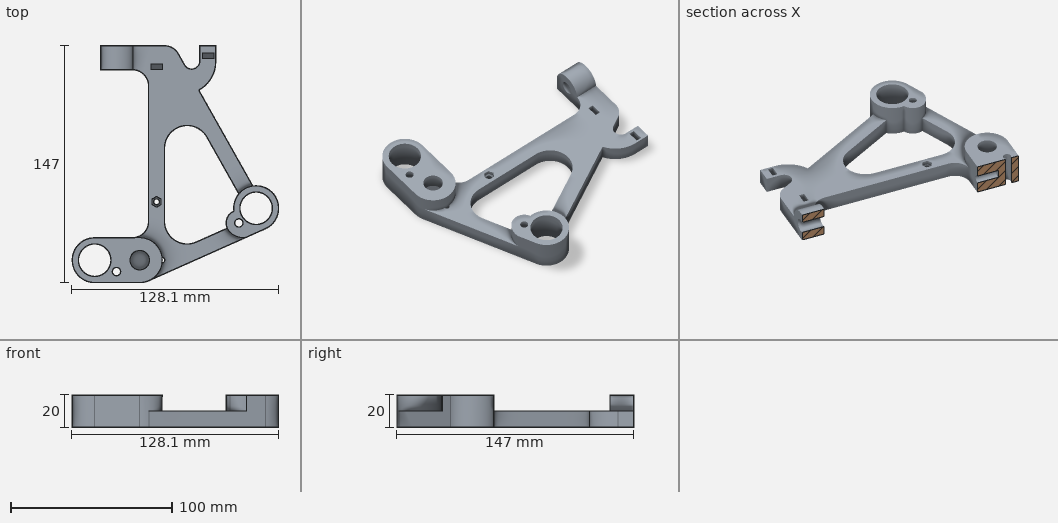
import cadquery as cq
import math

height = 20.0
plate = 10.1
middle_z = height / 2
arm_width = 10.0

boss_radius = 14.0
bore_diameter = 20.0
left_boss_length = 28.0
right_bore = (100.1, 32.2)
blind_hole_diameter = 12.0
small_hole_diameter = 5.0
left_small_hole = (13.5, -7.0)
right_small_hole = (89.4, 23.1)
ear_radius = 8.0
ear_tail_radius = 11.8
ear_tail_angle = math.radians(45)

column_left = 33.4
column_right = column_left + arm_width
overall_length = 147
frame_top = overall_length - boss_radius
corner_radius = 10.0
pocket_radius = 14.0
arm_normal_angle = math.radians(29.4)

hook_right = 75.1
hook_left = hook_right - arm_width
notch_radius = 5.0
hook_radius = 20.0
hook_center_y = 123.0

lug_width = 20.0
lug_center_x = 13.7
lug_length = 15.0
lug_bottom_y = frame_top - lug_length
lug_bore_diameter = 8.4

slot_size = (7.0, 3.4)
slot_depth = 7.5
slot_centers = [(38.4, 119.8), (70.4, 126.7)]
screw_diameter = 3.5
hex_center = (column_left + arm_width / 2, 36.2)
hex_across_corners = 6.6
hex_depth = 2.5
rim_hole_x = 41.6
pin_diameter = 5.0
pin_x = 11.8


def direction(angle):
    return (math.cos(angle), math.sin(angle))


def move(point, vector, distance):
    return (point[0] + distance * vector[0], point[1] + distance * vector[1])


def along(start, end):
    """Unit vector from one point to another."""
    length = math.dist(start, end)
    return ((end[0] - start[0]) / length, (end[1] - start[1]) / length)


def dot(a, b):
    return a[0] * b[0] + a[1] * b[1]


def arc_middle(center, start, end):
    """Middle of the shorter arc between two points of a circle."""
    chord_middle = ((start[0] + end[0]) / 2, (start[1] + end[1]) / 2)
    return move(center, along(center, chord_middle), math.dist(center, start))


def circle_on_line(center, radius, point, normal, tangent):
    """Point where a circle meets a line, on the side the tangent points away from."""
    gap = dot(normal, center) - dot(normal, point)
    foot = move(center, normal, -gap)
    return move(foot, tangent, -math.sqrt(radius**2 - gap**2))


def crossing(p, u, q, v):
    """Point where the line through p along u meets the line through q along v."""
    cross = u[0] * v[1] - u[1] * v[0]
    t = ((q[0] - p[0]) * v[1] - (q[1] - p[1]) * v[0]) / cross
    return move(p, u, t)


upper_normal = direction(arm_normal_angle)
upper_along = (-upper_normal[1], upper_normal[0])
upper_edge = move(right_bore, upper_normal, arm_width / 2)

lower_start = (left_boss_length, 0)
lower_along = along(lower_start, right_bore)
lower_normal = (lower_along[1], -lower_along[0])
lower_edge_start = move(lower_start, lower_normal, boss_radius)
lower_edge_end = move(right_bore, lower_normal, boss_radius)


def frame():
    """Flat frame with the hook at its upper right end."""
    upper_arc_center = (column_left - corner_radius, lug_bottom_y - corner_radius)
    lower_arc_center = (column_left - corner_radius, boss_radius + corner_radius)
    upper_arc_start = (upper_arc_center[0], lug_bottom_y)
    upper_arc_end = (column_left, upper_arc_center[1])
    lower_arc_start = (column_left, lower_arc_center[1])
    lower_arc_end = (lower_arc_center[0], boss_radius)

    hook_center = (hook_right - hook_radius, hook_center_y)
    hook_corner = circle_on_line(hook_center, hook_radius, upper_edge, upper_normal, upper_along)
    hook_side = (hook_right, hook_center_y)

    notch_center = crossing(
        move(upper_edge, upper_normal, notch_radius), upper_along,
        (hook_left - notch_radius, 0), (0, 1),
    )
    notch_start = (hook_left, notch_center[1])
    notch_end = move(notch_center, upper_normal, -notch_radius)
    crest_center = crossing(
        move(upper_edge, upper_normal, -corner_radius), upper_along,
        (0, frame_top - corner_radius), (1, 0),
    )
    crest_start = move(crest_center, upper_normal, corner_radius)
    crest_end = (crest_center[0], frame_top)

    outline = (
        cq.Workplane("XY")
        .moveTo(lug_center_x, lug_bottom_y)
        .lineTo(*upper_arc_start)
        .threePointArc(arc_middle(upper_arc_center, upper_arc_start, upper_arc_end), upper_arc_end)
        .lineTo(*lower_arc_start)
        .threePointArc(arc_middle(lower_arc_center, lower_arc_start, lower_arc_end), lower_arc_end)
        .lineTo(*lower_start)
        .lineTo(*lower_edge_start)
        .lineTo(*lower_edge_end)
        .lineTo(*right_bore)
        .lineTo(*upper_edge)
        .lineTo(*hook_corner)
        .threePointArc(arc_middle(hook_center, hook_corner, hook_side), hook_side)
        .lineTo(hook_right, frame_top)
        .lineTo(hook_left, frame_top)
        .lineTo(*notch_start)
        .threePointArc(arc_middle(notch_center, notch_start, notch_end), notch_end)
        .lineTo(*crest_start)
        .threePointArc(arc_middle(crest_center, crest_start, crest_end), crest_end)
        .lineTo(lug_center_x, frame_top)
        .close()
    )
    return outline.extrude(plate)


def pocket():
    """Opening between the column and the two arms."""
    upper_inner = move(right_bore, upper_normal, -arm_width / 2)
    lower_inner = move(right_bore, lower_normal, boss_radius - arm_width)
    corners = [
        crossing(upper_inner, upper_along, (column_right, 0), (0, 1)),
        crossing(lower_inner, lower_along, (column_right, 0), (0, 1)),
        crossing(lower_inner, lower_along, upper_inner, upper_along),
    ]
    return (
        cq.Workplane("XY").polyline(corners).close().extrude(plate)
        .edges("|Z").edges("<X").fillet(pocket_radius)
    )


def left_boss():
    return (
        cq.Workplane("XY").center(left_boss_length / 2, 0)
        .slot2D(left_boss_length + 2 * boss_radius, 2 * boss_radius).extrude(height)
    )


def right_boss():
    """Round boss with an ear that carries the small hole and runs out along the lower arm edge."""
    ring = cq.Workplane("XY").center(*right_bore).circle(boss_radius).extrude(height)

    tail_direction = direction(ear_tail_angle)
    tail_center = move(right_small_hole, tail_direction, ear_tail_radius - ear_radius)
    tail_start = circle_on_line(
        tail_center, ear_tail_radius, lower_edge_end, lower_normal, lower_along
    )
    tail_end = move(right_small_hole, tail_direction, -ear_radius)

    ear_left = (right_small_hole[0] - ear_radius, right_small_hole[1])
    ear_top = (right_small_hole[0], right_small_hole[1] + ear_radius)
    ear = (
        cq.Workplane("XY")
        .moveTo(*tail_start)
        .threePointArc(arc_middle(tail_center, tail_start, tail_end), tail_end)
        .threePointArc(ear_left, ear_top)
        .lineTo(*right_bore)
        .lineTo(*lower_edge_end)
        .close()
        .extrude(height)
    )
    return ring.union(ear)


def lug():
    """Pivot lug with a round top."""
    block = (
        cq.Workplane("XY")
        .box(lug_width, lug_length, middle_z, centered=(True, False, False))
        .translate((lug_center_x, lug_bottom_y, 0))
    )
    return block.union(cylinder_along_y(lug_width))


def cylinder_along_y(diameter):
    """Cylinder on the pivot axis, as long as the lug."""
    return (
        cq.Workplane("XZ", origin=(lug_center_x, frame_top, middle_z))
        .circle(diameter / 2).extrude(lug_length)
    )


def holes():
    """All bores, screw holes, nut recesses and the pin hole as one cutting body."""
    through = (
        cq.Workplane("XY").pushPoints([(0, 0), right_bore]).circle(bore_diameter / 2).extrude(height)
    )
    small = (
        cq.Workplane("XY").pushPoints([left_small_hole, right_small_hole])
        .circle(small_hole_diameter / 2).extrude(height)
    )
    blind = (
        cq.Workplane("XY", origin=(left_boss_length, 0, plate))
        .circle(blind_hole_diameter / 2).extrude(height - plate)
    )
    screws = (
        cq.Workplane("XY").pushPoints([hex_center, (rim_hole_x, 0)])
        .circle(screw_diameter / 2).extrude(plate)
    )
    nut = (
        cq.Workplane("XY", origin=(*hex_center, plate - hex_depth))
        .transformed(rotate=(0, 0, 90)).polygon(6, hex_across_corners).extrude(hex_depth)
    )
    pin = (
        cq.Workplane("XZ", origin=(pin_x, boss_radius, middle_z))
        .circle(pin_diameter / 2).extrude(boss_radius)
    )
    slots = (
        cq.Workplane("XY", origin=(0, 0, plate - slot_depth)).pushPoints(slot_centers)
        .rect(*slot_size).extrude(slot_depth)
    )
    cuts = through
    for cut in (small, blind, screws, nut, pin, slots, cylinder_along_y(lug_bore_diameter)):
        cuts = cuts.union(cut)
    return cuts


result = frame().cut(pocket()).union(left_boss()).union(right_boss()).union(lug()).cut(holes())